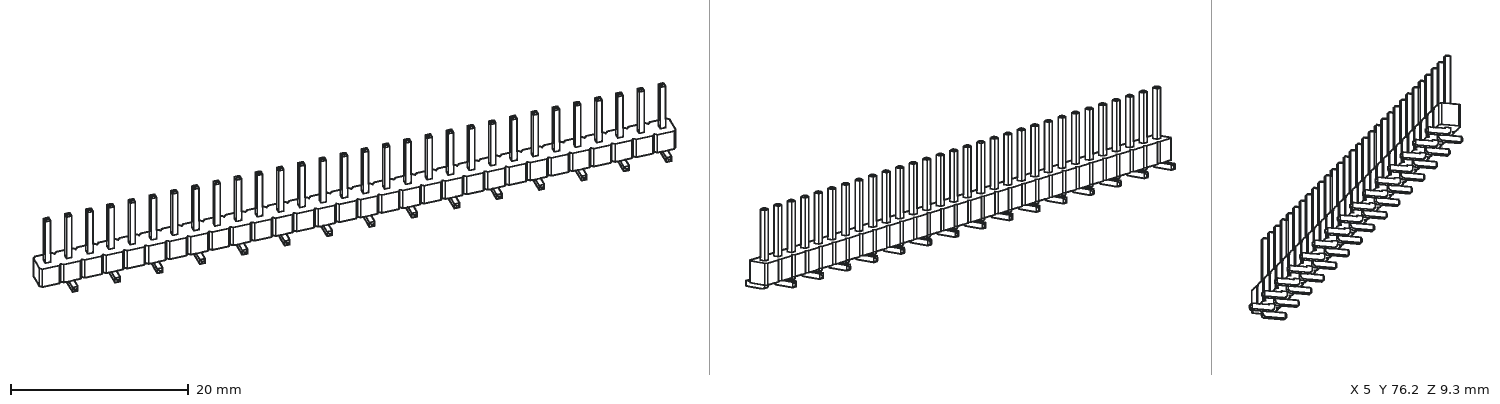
import cadquery as cq

pin_count = 30
body_length = 76.2
overall_width = 5.0
overall_height = 9.3
body_bottom = 0.8
body_notch = 0.27
pin_thickness = 0.64
bend_radius = 0.4
tip_chamfer = 0.15
foot_chamfer = 0.19

pitch = body_length / pin_count
body_width = pitch
body_height = pitch
pin_half = pin_thickness / 2
foot_reach = overall_width / 2


def housing_cell(y):
    """One square cell of the housing, with its four upright corners cut off."""
    return (
        cq.Workplane("XY", origin=(0, y, body_bottom))
        .rect(body_width, pitch)
        .extrude(body_height)
        .edges("|Z")
        .chamfer(body_notch)
    )


def bent_pin(y, side):
    """Square L-shaped pin at y; its foot points to +X (side = 1) or -X (side = -1)."""
    pin = (
        cq.Workplane("XZ", origin=(0, y + pin_half, 0))
        .moveTo(-side * pin_half, 0)
        .lineTo(side * foot_reach, 0)
        .lineTo(side * foot_reach, pin_thickness)
        .lineTo(side * pin_half, pin_thickness)
        .lineTo(side * pin_half, overall_height)
        .lineTo(-side * pin_half, overall_height)
        .close()
        .extrude(pin_thickness)
    )
    outer_corner = cq.selectors.NearestToPointSelector((-side * pin_half, y, 0))
    foot_end = ">X" if side > 0 else "<X"
    pin = pin.edges(outer_corner).fillet(bend_radius)
    pin = pin.faces(">Z").chamfer(tip_chamfer)
    return pin.faces(foot_end).chamfer(foot_chamfer)


cells = []
pins = []
for i in range(pin_count):
    pin_y = (i + 0.5) * pitch - body_length / 2
    foot_side = -1 if i % 2 == 0 else 1
    cells.append(housing_cell(pin_y).val())
    pins.append(bent_pin(pin_y, foot_side).val())

housing = cells[0].fuse(*cells[1:]).clean()
result = cq.Workplane(obj=housing.fuse(*pins))